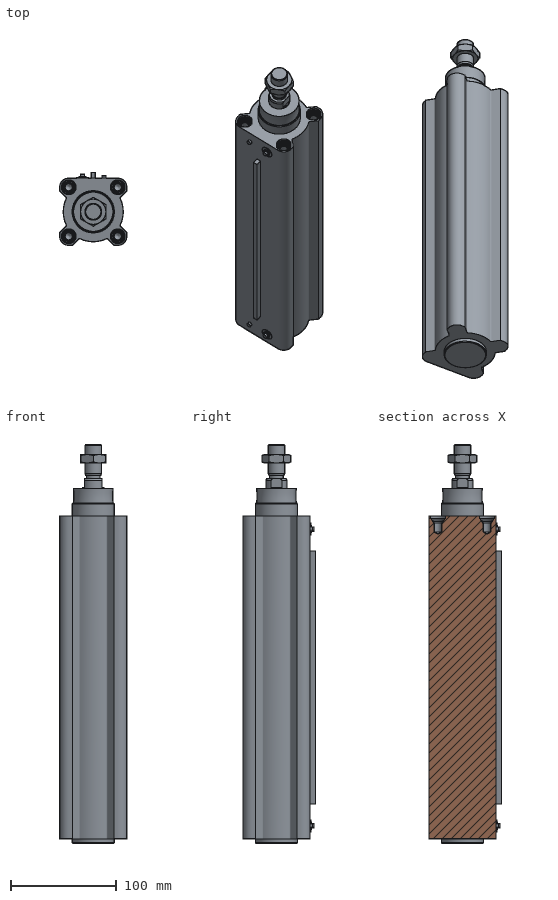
import cadquery as cq
import math


BODY_WIDTH = 64.0
BODY_LENGTH = 306.0
BARREL_DIAMETER = 57.0
BOLT_SPACING = 46.5
HALF_WIDTH = BODY_WIDTH / 2
BOLT_OFFSET = BOLT_SPACING / 2
LOBE_RADIUS = HALF_WIDTH - BOLT_OFFSET
LOBE_DEPTH = 11.5
LOBE_ROOT_FILLET = 1.0
TOLERANCE = 0.05

COLLAR_DIAMETER = 40.0
COLLAR_EDGE = 0.8
REAR_COLLAR_HEIGHT = 4.0
FRONT_COLLAR_HEIGHT = 12.0
SLEEVE_END_DIAMETER = 37.8
SLEEVE_WAIST_DIAMETER = 37.0
SLEEVE_HEIGHT = 14.0

SOCKET_STEPS = [(14.0, 2.3), (12.0, 3.8), (10.0, 5.3), (8.0, 6.8), (6.8, 15.0)]
SOCKET_TIP_ANGLE = 118

RAIL_WIDTH = 4.0
RAIL_HEIGHT = 5.3
RAIL_LENGTH = 240.0
FITTING_SPACING = 20.5
FITTING_INSET = 12.5
SCREW_STEPS = [(11.5, 0.55), (6.8, 1.5), (4.0, 3.8)]
PLUG_STEPS = [(4.0, 2.3)]

ROD_DIAMETER = 20.0
ROD_FLATS = 17.0
ROD_FLATS_START = 1.0
ROD_LENGTH = 35.5
ROD_CHAMFER_HEIGHT = 0.8
ROD_CHAMFER_WIDTH = 2.0
NECK_DIAMETER = 13.2
NECK_LENGTH = 3.0
THREAD_DIAMETER = 16.0
THREAD_LENGTH = 29.0
THREAD_CONE_DIAMETER = 14.5
THREAD_CONE_LENGTH = 2.0

NUT_ACROSS_FLATS = 23.8
NUT_THICKNESS = 8.0
NUT_START = 50.2
NUT_CHAMFER_ANGLE = 30

ROD_TOP = BODY_LENGTH + ROD_LENGTH
COLLAR_TOP = BODY_LENGTH + FRONT_COLLAR_HEIGHT
SLEEVE_TOP = COLLAR_TOP + SLEEVE_HEIGHT


def disc(diameter, bottom, height):
    """A cylinder on the Z axis, standing on the height `bottom`."""
    return cq.Workplane().workplane(offset=bottom).circle(diameter / 2).extrude(height)


def corner_lobe():
    """The lobe of the (+X, +Y) corner: a quarter round between two 45 degree flanks."""
    flat_end = BOLT_OFFSET - (math.sqrt(2) - 1) * LOBE_RADIUS
    round_middle = BOLT_OFFSET + LOBE_RADIUS / math.sqrt(2)
    return (
        cq.Workplane()
        .moveTo(HALF_WIDTH, BOLT_OFFSET)
        .threePointArc((round_middle, round_middle), (BOLT_OFFSET, HALF_WIDTH))
        .lineTo(flat_end, HALF_WIDTH)
        .lineTo(flat_end - LOBE_DEPTH, HALF_WIDTH - LOBE_DEPTH)
        .lineTo(HALF_WIDTH - LOBE_DEPTH, flat_end - LOBE_DEPTH)
        .lineTo(HALF_WIDTH, flat_end)
        .close()
        .extrude(BODY_LENGTH)
    )


def is_lobe_root(edge):
    """True for an upright edge where a lobe flank meets the round barrel."""
    center = edge.Center()
    return math.isclose(math.hypot(center.x, center.y), BARREL_DIAMETER / 2, abs_tol=TOLERANCE)


def profile_body():
    """Round barrel with four corner lobes and a flat +Y side."""
    body = disc(BARREL_DIAMETER, 0, BODY_LENGTH)
    flat_side = cq.Workplane().box(
        2 * BOLT_OFFSET, HALF_WIDTH, BODY_LENGTH, centered=(True, False, False)
    )
    body = body.union(flat_side)
    lobe = corner_lobe()
    for quarter in range(4):
        body = body.union(lobe.rotate((0, 0, 0), (0, 0, 1), 90 * quarter))
    body = body.clean()
    roots = body.edges("|Z").filter(is_lobe_root)
    return roots.fillet(LOBE_ROOT_FILLET)


def sleeve():
    """Slightly waisted sleeve on the front collar."""
    end_radius = SLEEVE_END_DIAMETER / 2
    waist = (SLEEVE_WAIST_DIAMETER / 2, (COLLAR_TOP + SLEEVE_TOP) / 2)
    return (
        cq.Workplane("XZ")
        .moveTo(0, COLLAR_TOP)
        .lineTo(end_radius, COLLAR_TOP)
        .threePointArc(waist, (end_radius, SLEEVE_TOP))
        .lineTo(0, SLEEVE_TOP)
        .close()
        .revolve()
    )


def screw_socket():
    """Stepped blind hole below the front face, ending in a drill point."""
    cutter = cq.Workplane()
    for diameter, depth in SOCKET_STEPS:
        cutter = cutter.union(disc(diameter, BODY_LENGTH - depth, depth))
    tip_diameter, tip_start = SOCKET_STEPS[-1]
    tip_radius = tip_diameter / 2
    tip_height = tip_radius / math.tan(math.radians(SOCKET_TIP_ANGLE / 2))
    tip = cq.Solid.makeCone(
        0, tip_radius, tip_height, cq.Vector(0, 0, BODY_LENGTH - tip_start - tip_height)
    )
    return cutter.union(cq.Workplane(tip))


def side_fitting(steps, x, z):
    """Round stepped fitting on the +Y face; each step reaches from the face to its height."""
    fitting = cq.Workplane()
    for diameter, height in steps:
        base = cq.Workplane("XZ", origin=(x, HALF_WIDTH, z))
        fitting = fitting.union(base.circle(diameter / 2).extrude(-height))
    return fitting


def side_rail():
    """Narrow rail along the middle of the +Y face."""
    return cq.Workplane(origin=(0, HALF_WIDTH, BODY_LENGTH / 2)).box(
        RAIL_WIDTH, RAIL_HEIGHT, RAIL_LENGTH, centered=(True, False, True)
    )


def make_housing():
    """Profile body with collars, +Y fittings, corner sockets and the rod bore."""
    housing = profile_body()
    rear_collar = disc(COLLAR_DIAMETER, -REAR_COLLAR_HEIGHT, REAR_COLLAR_HEIGHT)
    housing = housing.union(rear_collar.faces("<Z").chamfer(COLLAR_EDGE))
    front_collar = disc(COLLAR_DIAMETER, BODY_LENGTH, FRONT_COLLAR_HEIGHT)
    housing = housing.union(front_collar.faces(">Z").chamfer(COLLAR_EDGE)).union(sleeve())
    housing = housing.union(side_rail())
    for z in (FITTING_INSET, BODY_LENGTH - FITTING_INSET):
        housing = housing.union(side_fitting(SCREW_STEPS, -FITTING_SPACING / 2, z))
        housing = housing.union(side_fitting(PLUG_STEPS, FITTING_SPACING / 2, z))
    socket = screw_socket()
    for x in (-BOLT_OFFSET, BOLT_OFFSET):
        for y in (-BOLT_OFFSET, BOLT_OFFSET):
            housing = housing.cut(socket.translate((x, y, 0)))
    return housing.cut(disc(ROD_DIAMETER, BODY_LENGTH, SLEEVE_TOP - BODY_LENGTH))


def make_rod():
    """Rod with wrench flats, undercut neck and threaded end."""
    rod = disc(ROD_DIAMETER, BODY_LENGTH, ROD_LENGTH).faces(">Z")
    rod = rod.chamfer(ROD_CHAMFER_WIDTH, ROD_CHAMFER_HEIGHT)
    flats_bottom = SLEEVE_TOP + ROD_FLATS_START
    flats_height = ROD_TOP - flats_bottom
    flats = cq.Workplane(origin=(0, 0, flats_bottom)).box(
        ROD_FLATS, ROD_DIAMETER, flats_height, centered=(True, True, False)
    )
    rod = rod.cut(disc(ROD_DIAMETER, flats_bottom, flats_height).cut(flats))
    neck_top = ROD_TOP + NECK_LENGTH
    rod = rod.union(disc(NECK_DIAMETER, ROD_TOP, NECK_LENGTH))
    thread_cone = cq.Solid.makeCone(
        THREAD_CONE_DIAMETER / 2, THREAD_DIAMETER / 2, THREAD_CONE_LENGTH, cq.Vector(0, 0, neck_top)
    )
    thread = disc(THREAD_DIAMETER, neck_top + THREAD_CONE_LENGTH, THREAD_LENGTH - THREAD_CONE_LENGTH)
    end_chamfer = (THREAD_DIAMETER - THREAD_CONE_DIAMETER) / 2
    thread = thread.faces(">Z").chamfer(end_chamfer)
    return rod.union(cq.Workplane(thread_cone)).union(thread)


def make_nut():
    """Hexagon nut with corners along Y, chamfered on both faces."""
    across_corners = NUT_ACROSS_FLATS / math.cos(math.pi / 6)
    corner_depth = (across_corners - NUT_ACROSS_FLATS) / 2
    chamfer_height = corner_depth * math.tan(math.radians(NUT_CHAMFER_ANGLE))
    base = cq.Workplane(origin=(0, 0, BODY_LENGTH + NUT_START))
    hexagon = base.polygon(6, across_corners).extrude(NUT_THICKNESS)
    hexagon = hexagon.rotate((0, 0, 0), (0, 0, 1), 90)
    turned = (
        base.circle(across_corners / 2).extrude(NUT_THICKNESS)
        .faces("<Z or >Z").chamfer(chamfer_height, corner_depth)
    )
    return hexagon.intersect(turned).cut(base.circle(THREAD_DIAMETER / 2).extrude(NUT_THICKNESS))


housing = make_housing()
rod = make_rod()
nut = make_nut()

result = cq.Compound.makeCompound([housing.solids().val(), rod.solids().val(), nut.solids().val()])